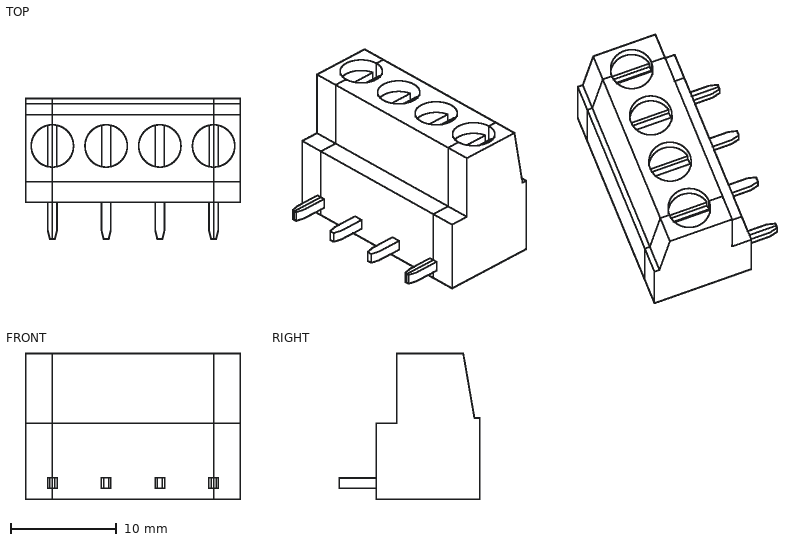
import cadquery as cq


pole_count = 4
length = 20.32
pitch = length / pole_count
pole_centers = [pitch * (index + 0.5) for index in range(pole_count)]

depth = 9.81
height = 13.8
front_ledge_depth = 1.95
front_ledge_z = 7.2
back_ledge_depth = 0.5
back_ledge_z = 7.7
top_back_inset = 1.56

screw_diameter = 4.0
screw_y = 5.32
screw_recess_depth = 1.2
driver_slot_width = 0.83
driver_slot_depth = 0.81

pin_length = 3.5
pin_width = 0.9
pin_height = 1.0
pin_bottom_z = 1.04
pin_tip_width = 0.49
pin_tip_length = 0.83


def make_housing():
    """Full-length housing with a front ledge, a back ledge and a sloping back."""
    profile = [
        (0, 0),
        (depth, 0),
        (depth, back_ledge_z),
        (depth - back_ledge_depth, back_ledge_z),
        (depth - top_back_inset, height),
        (front_ledge_depth, height),
        (front_ledge_depth, front_ledge_z),
        (0, front_ledge_z),
    ]
    return cq.Workplane("YZ").polyline(profile).close().extrude(length)


def make_screw_recess(center_x):
    """Round recess down to the screw head, with the driver slot across the head along Y."""
    slot_bottom_z = height - screw_recess_depth - driver_slot_depth
    shaft = (
        cq.Workplane("XY", origin=(center_x, screw_y, slot_bottom_z))
        .circle(screw_diameter / 2)
        .extrude(height - slot_bottom_z)
    )
    slot = (
        cq.Workplane("XY", origin=(center_x, screw_y, slot_bottom_z))
        .rect(driver_slot_width, screw_diameter)
        .extrude(driver_slot_depth)
        .intersect(shaft)
    )
    head_recess = (
        cq.Workplane("XY", origin=(center_x, screw_y, height))
        .circle(screw_diameter / 2)
        .extrude(-screw_recess_depth)
    )
    return head_recess.union(slot)


def make_pin(center_x):
    """Flat pin along -Y whose two sides taper towards the tip."""
    taper_start_y = pin_tip_length - pin_length
    outline = [
        (-pin_width / 2, 0),
        (-pin_width / 2, taper_start_y),
        (-pin_tip_width / 2, -pin_length),
        (pin_tip_width / 2, -pin_length),
        (pin_width / 2, taper_start_y),
        (pin_width / 2, 0),
    ]
    return (
        cq.Workplane("XY", origin=(center_x, 0, pin_bottom_z))
        .polyline(outline)
        .close()
        .extrude(pin_height)
    )


def make_block():
    """Uncut terminal block with every screw recess and pin."""
    block = make_housing()
    for center_x in pole_centers:
        block = block.cut(make_screw_recess(center_x)).union(make_pin(center_x))
    return block


def make_slice(block, start_x, end_x):
    """The stretch of the block between two planes across X."""
    slab = cq.Workplane("XY", origin=(start_x, -pin_length, 0)).box(
        end_x - start_x, depth + pin_length, height, centered=False
    )
    return block.intersect(slab)


terminal_block = make_block()
first_cut_x = pole_centers[0]
last_cut_x = pole_centers[-1]

middle_piece = make_slice(terminal_block, first_cut_x, last_cut_x)
end_pieces = [
    make_slice(terminal_block, start_x, end_x)
    for start_x, end_x in [(0, first_cut_x), (last_cut_x, length)]
]

result = cq.Compound.makeCompound(
    [middle_piece.val(), *[piece.val() for piece in end_pieces]]
)